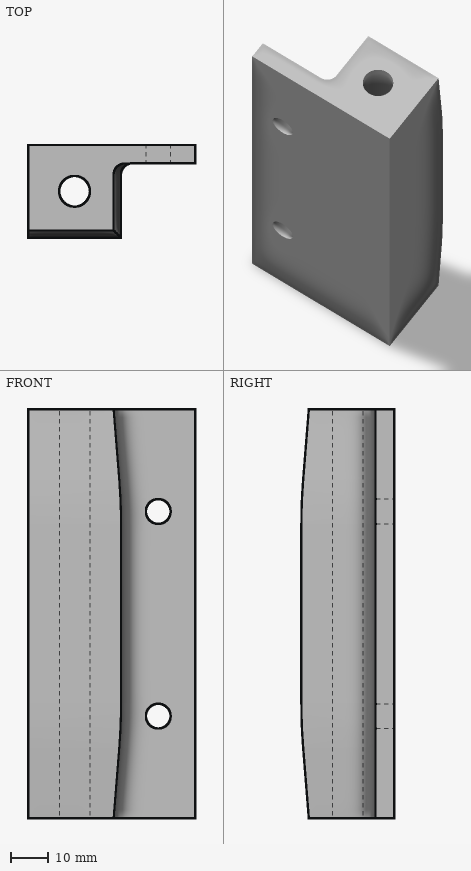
import cadquery as cq
import math

width = 45.0
depth = 25.0
height = 110.0

block_width = 25.0
flange_thickness = 5.0
flange_front = depth - flange_thickness
root_radius = 3.0
root_margin = 0.01

taper_start = 30.0
taper_setback = 2.0
blend_radius = 150.0
half_height = height / 2
taper_angle = math.atan2(taper_setback, half_height - taper_start)
blend_start = taper_start - blend_radius * math.tan(taper_angle / 2)

bore_diameter = 8.2
bore_x = block_width / 2
bore_y = depth / 2
mount_hole_diameter = 6.6
mount_hole_x = 35.0
mount_hole_spacing = 55.0


def blend_point(angle):
    """Setback from the flat face and height above mid-plane, at an angle along the blend arc."""
    setback = blend_radius * (1 - math.cos(angle))
    return setback, blend_start + blend_radius * math.sin(angle)


def tapered_profile(plane, base, face):
    """Closed outline from a straight base line to a flat face with blended, tapered ends."""
    inward = math.copysign(1, base - face)
    mid_setback, mid_z = blend_point(taper_angle / 2)
    end_setback, end_z = blend_point(taper_angle)
    blend_mid = face + inward * mid_setback
    blend_tip = face + inward * end_setback
    tip = face + inward * taper_setback
    return (
        cq.Workplane(plane)
        .moveTo(base, -half_height)
        .lineTo(tip, -half_height)
        .lineTo(blend_tip, -end_z)
        .threePointArc((blend_mid, -mid_z), (face, -blend_start))
        .lineTo(face, blend_start)
        .threePointArc((blend_mid, mid_z), (blend_tip, end_z))
        .lineTo(tip, half_height)
        .lineTo(base, half_height)
        .close()
    )


def make_block():
    """Block tapered at both ends on its front face and on its inner side face."""
    front_taper = tapered_profile("YZ", depth, 0).extrude(block_width)
    side_taper = tapered_profile("XZ", 0, block_width).extrude(-depth)
    return front_taper.intersect(side_taper)


def make_flange():
    """Flat mounting plate along the back of the part."""
    return (
        cq.Workplane("XY")
        .box(width, flange_thickness, height, centered=(False, False, True))
        .translate((0, flange_front, 0))
    )


def fillet_root(body):
    """Round the inside corner between the block and the flange along its full length."""
    root = cq.selectors.BoxSelector(
        (block_width - taper_setback - root_margin, flange_front - root_margin, -half_height),
        (block_width + root_margin, flange_front + root_margin, half_height),
    )
    return body.edges(root).fillet(root_radius)


def cut_bore(body):
    """Bore running the full height of the block."""
    bore = cq.Workplane("XY").center(bore_x, bore_y).circle(bore_diameter / 2).extrude(half_height, both=True)
    return body.cut(bore)


def cut_mount_holes(body):
    """Pair of plain holes through the flange."""
    holes = (
        cq.Workplane("XZ")
        .center(mount_hole_x, 0)
        .rarray(1, mount_hole_spacing, 1, 2)
        .circle(mount_hole_diameter / 2)
        .extrude(-depth)
    )
    return body.cut(holes)


result = fillet_root(make_block().union(make_flange()))
result = cut_bore(result)
result = cut_mount_holes(result)